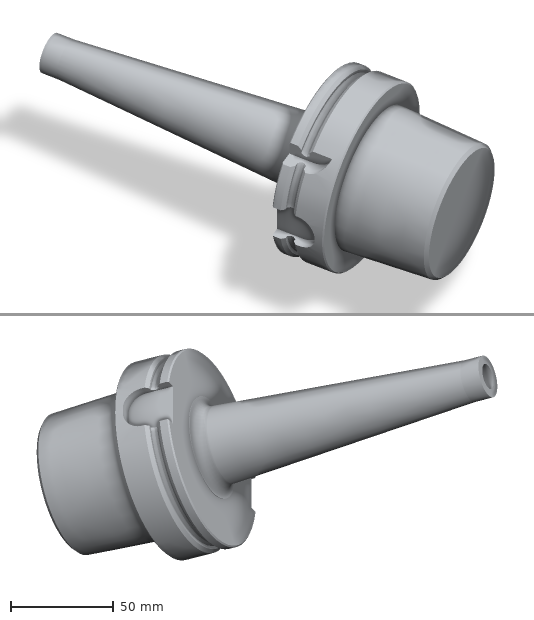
import cadquery as cq

total_length = 229.0
nose_straight_length = 9.8
neck_start = 143.4
neck_end = 144.5
flange_front = 150.0
flange_back = 179.0

nose_radius = 10.5
neck_radius = 19.7
flange_radius = 100.0 / 2
shank_base_radius = 38.2
shank_end_radius = 35.7
shank_chamfer = 1.8
flange_chamfer = 0.7
collar_radius = 25.9
collar_thickness = 0.2
collar_front = flange_front - collar_thickness
neck_fillet = collar_front - neck_end

groove_center = 159.0
groove_mouth_half_width = 4.1
groove_wall_half_width = 2.3
groove_floor_half_width = 0.7
groove_mouth_depth = 1.5
groove_wall_depth = 3.2
groove_depth = 4.1

bore_diameter = 12.5
bore_depth = 6.6

slot_end = 174.3
slot_floor = 43.7
front_slot_width = 20.2
rear_slot_width = 21.5
rear_slot_corner_radius = 9.6

notch_inner_y = 31.1
notch_floor_z = 31.4
notch_straight_end = 163.3
notch_cutter_radius = 11.0

cut_margin = 2.3


def revolve_about_x(profile):
    return profile.close().revolve(360, (0, 0, 0), (1, 0, 0))


def turned_body():
    profile = (
        cq.Workplane("XY")
        .lineTo(0, nose_radius)
        .lineTo(nose_straight_length, nose_radius)
        .lineTo(neck_start, neck_radius)
        .lineTo(neck_end, neck_radius)
        .radiusArc((collar_front, neck_radius + neck_fillet), -neck_fillet)
        .lineTo(collar_front, collar_radius)
        .lineTo(flange_front, collar_radius)
        .lineTo(flange_front, flange_radius - flange_chamfer)
        .lineTo(flange_front + flange_chamfer, flange_radius)
        .lineTo(flange_back - flange_chamfer, flange_radius)
        .lineTo(flange_back, flange_radius - flange_chamfer)
        .lineTo(flange_back, shank_base_radius)
        .lineTo(total_length - shank_chamfer, shank_end_radius)
        .lineTo(total_length, shank_end_radius - shank_chamfer)
        .lineTo(total_length, 0)
    )
    return revolve_about_x(profile)


def gripper_groove():
    wall_top = flange_radius - groove_mouth_depth
    wall_bottom = flange_radius - groove_wall_depth
    floor = flange_radius - groove_depth
    profile = (
        cq.Workplane("XY")
        .moveTo(groove_center - groove_mouth_half_width, flange_radius + cut_margin)
        .lineTo(groove_center - groove_mouth_half_width, flange_radius)
        .lineTo(groove_center - groove_wall_half_width, wall_top)
        .lineTo(groove_center - groove_wall_half_width, wall_bottom)
        .lineTo(groove_center - groove_floor_half_width, floor)
        .lineTo(groove_center + groove_floor_half_width, floor)
        .lineTo(groove_center + groove_wall_half_width, wall_bottom)
        .lineTo(groove_center + groove_wall_half_width, wall_top)
        .lineTo(groove_center + groove_mouth_half_width, flange_radius)
        .lineTo(groove_center + groove_mouth_half_width, flange_radius + cut_margin)
    )
    return revolve_about_x(profile)


def drive_slot(side, width, corner_radius):
    half_width = width / 2
    corner_start = slot_end - corner_radius
    outline = (
        cq.Workplane("XZ", origin=(0, side * slot_floor, 0))
        .moveTo(flange_front - cut_margin, -half_width)
        .lineTo(corner_start, -half_width)
        .radiusArc((slot_end, corner_radius - half_width), -corner_radius)
    )
    if corner_radius < half_width:
        outline = outline.lineTo(slot_end, half_width - corner_radius)
    outline = (
        outline.radiusArc((corner_start, half_width), -corner_radius)
        .lineTo(flange_front - cut_margin, half_width)
        .close()
    )
    cut_depth = flange_radius - slot_floor + cut_margin
    return outline.extrude(-side * cut_depth)


def orientation_notch():
    notch_end = notch_straight_end + notch_cutter_radius
    notch_top = flange_radius + cut_margin
    outline = (
        cq.Workplane("XZ", origin=(0, -notch_inner_y, 0))
        .moveTo(flange_front - cut_margin, notch_floor_z)
        .lineTo(notch_straight_end, notch_floor_z)
        .radiusArc((notch_end, notch_floor_z + notch_cutter_radius), -notch_cutter_radius)
        .lineTo(notch_end, notch_top)
        .lineTo(flange_front - cut_margin, notch_top)
        .close()
    )
    return outline.extrude(flange_radius - notch_inner_y + cut_margin)


def tool_bore():
    return cq.Workplane("YZ").circle(bore_diameter / 2).extrude(bore_depth)


result = (
    turned_body()
    .cut(gripper_groove())
    .cut(drive_slot(-1, front_slot_width, front_slot_width / 2))
    .cut(drive_slot(1, rear_slot_width, rear_slot_corner_radius))
    .cut(orientation_notch())
    .cut(tool_bore())
)